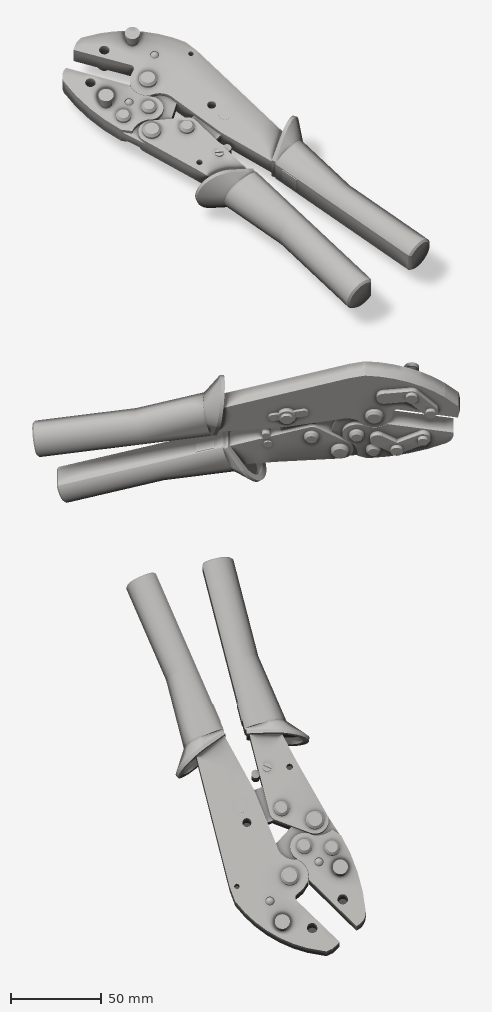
import cadquery as cq
import math


PLATE_THICKNESS = 10.6
LINK_THICKNESS = 6.0
HALF_PLATE = PLATE_THICKNESS / 2
JOINT_GAP = 0.2

HUB_RADIUS = 10.4
KNUCKLE_RADIUS = 8.0
HANDLE_NOSE_RADIUS = 7.5

MAIN_PIVOT = (0, 0)
KNUCKLE_BOLT = (13.2, -13.6)
JAW_BOLT = (6.9, -27.6)
HANDLE_PIVOT = (25.2, -24.3)
RATCHET_BOLT = (37.9, -9.3)

BOLT_HEIGHT = 3.0
BOLT_CHAMFER_HEIGHT = BOLT_HEIGHT / 2
BOLT_CHAMFER_WIDTH = 1.2
LARGE_BOLT_RADIUS = 5.1
SMALL_BOLT_RADIUS = 4.2

UPPER_DIE_PIN = (-24.4, 13.7)
LOWER_DIE_PIN = (-6.4, -27.4)
DIE_PIN_TOP = 13.3
DIE_PIN_BOTTOM = -10.5
DIE_PIN_RADIUS = 3.4
DIE_PIN_HEAD_RADIUS = 4.2
DIE_PIN_HEAD_HEIGHT = 2.6

UPPER_DIE_HOLE = (-31.8, -1.2)
LOWER_DIE_HOLE = (-22.4, -22.8)
DIE_HOLE_DIAMETER = 5.8
UPPER_BALL = (-9.1, 15.3)
LOWER_BALL = (2.3, -18.0)
BALL_DIAMETER = 5.0
BALL_PROJECTION = 1.2

STRAP_THICKNESS = 3.0
STRAP_WIDTH = 8.5

SPRING_HOLE = (5.2, 29.5)
SPRING_HOLE_DIAMETER = 3.0
PAWL_HOLE = (37.4, 11.5)
PAWL_HOLE_DIAMETER = 5.0
PAWL_PIN = (47.1, 11.7)
PAWL_PIN_RADIUS = 3.5
PAWL_PIN_PROJECTION = 0.1
PAWL_PIN_BOTTOM = -9.8
PAWL_COLLAR_RADIUS = 5.0
PAWL_COLLAR_HEIGHT = 2.6
PAWL_STRIP_END = (55.0, 11.7)
PAWL_STRIP_WIDTH = 5.0
PAWL_STRIP_THICKNESS = 1.5
HANDLE_HOLE = (58.9, -21.9)
HANDLE_HOLE_DIAMETER = 3.6
STOP_SCREW = (62.9, -10.0)
STOP_PIN = (62.3, -3.0)
STOP_RADIUS = 2.4
STOP_PROJECTION = 1.0
SCREW_SLOT_WIDTH = 0.8
SCREW_SLOT_ANGLE = 45

GRIP_RADIUS = 10.2
GRIP_LENGTH = 58.86
GRIP_END_CHAMFER = 1.2
GRIP_FLAT = 7.6
ROOT_LENGTH = 39.0
ROOT_FLARE = 6.0
PAD_START = -34.0
PAD_END = -23.5
PAD_WIDTH = 12.0
PAD_HEIGHT = 0.4
GUARD_OUTER_TIP = (-53.0, 25.71)
GUARD_INNER_TIP = (-42.1, -7.4)
GUARD_RADIUS = 14.99
GUARD_INNER_HALF_WIDTH = 7.5
GUARD_RIM_THICKNESS = 2.0
GUARD_WALL = 3.5
GUARD_RECESS_DEPTH = 4.0

UPPER_NECK = (130.35, 14.1)
UPPER_HANDLE_ANGLE = 2.3
LOWER_NECK = (125.7, -18.1)
LOWER_HANDLE_ANGLE = -6.5


def disc(center, radius, bottom, top):
    """Upright cylinder between two heights."""
    return cq.Workplane("XY", origin=(*center, bottom)).circle(radius).extrude(top - bottom)


def plate(outline, thickness):
    """Closed outline thickened evenly about the mid-plane."""
    return outline.close().extrude(thickness / 2, both=True)


def bar(start, end, width, bottom, top):
    """Flat bar with round ends about two points."""
    dx = end[0] - start[0]
    dy = end[1] - start[1]
    length = math.hypot(dx, dy)
    body = cq.Workplane("XY").center(length / 2, 0).slot2D(length + width, width).extrude(top - bottom)
    angle = math.degrees(math.atan2(dy, dx))
    return body.rotate((0, 0, 0), (0, 0, 1), angle).translate((*start, bottom))


def upper_plate():
    """Fixed jaw, pivot hub and tang of the upper handle in one plate."""
    outline = (
        cq.Workplane("XY")
        .moveTo(-44.6, -12.7)
        .lineTo(-46.8, -7.8)
        .lineTo(-47.1, -3.8)
        .lineTo(-41.5, 5.5)
        .threePointArc((-25.2, 22.2), (-2.4, 33.4))
        .lineTo(6.5, 33.3)
        .lineTo(87.0, 23.8)
        .lineTo(92.3, 6.2)
        .lineTo(54.1, 1.2)
        .lineTo(19.4, 0.6)
        .threePointArc((13.0, -0.5), (7.8, -6.9))
        .threePointArc((0.0, -HUB_RADIUS), (-5.7, -8.7))
        .lineTo(-9.1, -4.3)
        .lineTo(-10.8, 0.2)
        .threePointArc((-11.9, 1.3), (-13.5, 1.5))
    )
    holes = [
        (UPPER_DIE_HOLE, DIE_HOLE_DIAMETER),
        (UPPER_BALL, BALL_DIAMETER),
        (PAWL_HOLE, PAWL_HOLE_DIAMETER),
    ]
    body = drilled(plate(outline, PLATE_THICKNESS), holes)
    return body.cut(blind_hole(SPRING_HOLE, SPRING_HOLE_DIAMETER))


def lower_jaw():
    """Moving jaw with a knuckle at its back and a hollow that clears the hub."""
    outline = (
        cq.Workplane("XY")
        .moveTo(-39.3, -24.5)
        .lineTo(-5.5, -9.4)
        .lineTo(7.8, -7.1)
        .lineTo(18.9, -18.7)
        .threePointArc((16.4, -23.8), (17.0, -31.5))
        .lineTo(12.0, -34.9)
        .threePointArc((-9.1, -36.1), (-33.5, -32.3))
        .threePointArc((-37.4, -29.5), (-39.3, -24.5))
    )
    knuckle = disc(KNUCKLE_BOLT, KNUCKLE_RADIUS, -HALF_PLATE, HALF_PLATE)
    hub_clearance = disc(MAIN_PIVOT, HUB_RADIUS + JOINT_GAP, -HALF_PLATE, HALF_PLATE)
    jaw = plate(outline, PLATE_THICKNESS).union(knuckle).cut(hub_clearance)
    return drilled(jaw, [(LOWER_DIE_HOLE, DIE_HOLE_DIAMETER), (LOWER_BALL, BALL_DIAMETER)])


def lower_handle_plate():
    """Tang of the lower handle, round about its pivot."""
    outline = (
        cq.Workplane("XY")
        .moveTo(19.7, -19.2)
        .lineTo(33.6, -3.5)
        .threePointArc((35.5, -2.4), (38.0, -2.2))
        .lineTo(86.0, -7.9)
        .lineTo(86.0, -23.7)
        .lineTo(61.6, -26.5)
        .lineTo(26.5, -31.7)
    )
    nose = disc(HANDLE_PIVOT, HANDLE_NOSE_RADIUS, -HALF_PLATE, HALF_PLATE)
    body = plate(outline, PLATE_THICKNESS).union(nose)
    return body.cut(blind_hole(HANDLE_HOLE, HANDLE_HOLE_DIAMETER))


def drilled(body, holes):
    """Plate with through holes, each given as (center, diameter)."""
    for center, diameter in holes:
        body = body.cut(disc(center, diameter / 2, -HALF_PLATE, HALF_PLATE))
    return body


def blind_hole(center, diameter):
    """Tool for a hole from the top face down to the mid-plane."""
    return disc(center, diameter / 2, 0, HALF_PLATE)


def toggle_link():
    """Thin link joining the hub, the lower jaw and the handle pivot."""
    outline = cq.Workplane("XY").polyline(
        [
            (5, -6),
            (12, 0.5),
            (21, 0.6),
            (26.9, -10.7),
            (33.6, -18.5),
            (33.6, -30.0),
            (27.0, -31.75),
            (12.5, -34.7),
            (5.2, -18.5),
        ]
    )
    return plate(outline, LINK_THICKNESS)


def ratchet_link():
    """Thin link between the two handle plates."""
    outline = cq.Workplane("XY").polyline([(34, 1.5), (54, 1.5), (54, -9), (34, -9)])
    return plate(outline, LINK_THICKNESS)


def bolt(center, radius):
    """Bolt with a chamfered round head on both faces of the plates."""
    half_length = HALF_PLATE + BOLT_HEIGHT
    body = disc(center, radius, -half_length, half_length)
    return body.faces("<Z or >Z").chamfer(BOLT_CHAMFER_HEIGHT, BOLT_CHAMFER_WIDTH)


def die_pin(center):
    """Headed pin that holds a die."""
    shank = disc(center, DIE_PIN_RADIUS, DIE_PIN_BOTTOM, DIE_PIN_TOP)
    head = disc(center, DIE_PIN_HEAD_RADIUS, DIE_PIN_TOP - DIE_PIN_HEAD_HEIGHT, DIE_PIN_TOP)
    return shank.union(head)


def detent(ball, pin, hole):
    """Detent ball in its hole with the bent strap under the jaw that carries it."""
    ball_height = HALF_PLATE + BALL_PROJECTION - BALL_DIAMETER / 2
    strap_bottom = -HALF_PLATE - STRAP_THICKNESS
    stem = disc(ball, BALL_DIAMETER / 2, -HALF_PLATE, ball_height)
    dome = cq.Workplane("XY").sphere(BALL_DIAMETER / 2).translate((*ball, ball_height))
    rivet = disc(hole, DIE_HOLE_DIAMETER / 2, DIE_PIN_BOTTOM, -HALF_PLATE)
    near = bar(hole, pin, STRAP_WIDTH, strap_bottom, -HALF_PLATE)
    far = bar(pin, ball, STRAP_WIDTH, strap_bottom, -HALF_PLATE)
    return near.union(far).union(rivet).union(stem).union(dome)


def pawl_mount():
    """Pawl pin, barely proud on top, with its collar and strip under the upper plate."""
    pin = disc(PAWL_PIN, PAWL_PIN_RADIUS, PAWL_PIN_BOTTOM, HALF_PLATE + PAWL_PIN_PROJECTION)
    collar = disc(PAWL_PIN, PAWL_COLLAR_RADIUS, -HALF_PLATE - PAWL_COLLAR_HEIGHT, -HALF_PLATE)
    strip_bottom = -HALF_PLATE - PAWL_STRIP_THICKNESS
    strip = bar(PAWL_HOLE, PAWL_STRIP_END, PAWL_STRIP_WIDTH, strip_bottom, -HALF_PLATE)
    return pin.union(collar).union(strip)


def handle_stop():
    """Slotted screw through the lower handle and the stop pin at its inner edge."""
    reach = HALF_PLATE + STOP_PROJECTION
    screw = disc(STOP_SCREW, STOP_RADIUS, -reach, reach)
    slot = cq.Workplane("XY").box(2 * STOP_RADIUS, SCREW_SLOT_WIDTH, 2 * STOP_PROJECTION)
    slot = slot.rotate((0, 0, 0), (0, 0, 1), SCREW_SLOT_ANGLE).translate((*STOP_SCREW, reach))
    pin = disc(STOP_PIN, STOP_RADIUS, -reach, LINK_THICKNESS / 2)
    return screw.cut(slot).union(pin)


def guard_plane(depth):
    """Plane of the guard rim, moved into the guard by depth. Local +X runs from outer to inner tip."""
    along_x = GUARD_INNER_TIP[0] - GUARD_OUTER_TIP[0]
    along_y = GUARD_INNER_TIP[1] - GUARD_OUTER_TIP[1]
    length = math.hypot(along_x, along_y)
    normal = (-along_y / length, along_x / length, 0)
    origin = (GUARD_OUTER_TIP[0] + depth * normal[0], GUARD_OUTER_TIP[1] + depth * normal[1], 0)
    return cq.Plane(origin=origin, xDir=(along_x, along_y, 0), normal=normal)


def guard_outline(depth, inset):
    """Teardrop: a round outer end tapering to a narrow straight inner end."""
    radius = GUARD_RADIUS - inset
    half_width = GUARD_INNER_HALF_WIDTH - inset / 2
    length = math.dist(GUARD_OUTER_TIP, GUARD_INNER_TIP) - inset
    taper = math.atan2(GUARD_RADIUS - GUARD_INNER_HALF_WIDTH, length - GUARD_RADIUS)
    tangent_x = GUARD_RADIUS + radius * math.sin(taper)
    tangent_y = radius * math.cos(taper)
    return (
        cq.Workplane(guard_plane(depth))
        .moveTo(tangent_x, tangent_y)
        .threePointArc((GUARD_RADIUS - radius, 0), (tangent_x, -tangent_y))
        .lineTo(length, -half_width)
        .lineTo(length, half_width)
        .close()
    )


def guard():
    """Hollow hand guard that narrows from its rim to the handle root."""
    rim = guard_outline(0, 0).extrude(GUARD_RIM_THICKNESS)
    flat_half_width = math.sqrt(GRIP_RADIUS**2 - GRIP_FLAT**2)
    root_plane = cq.Plane(origin=(-ROOT_LENGTH, ROOT_FLARE, 0), xDir=(0, -1, 0), normal=(1, 0, 0))
    root_depth = ROOT_FLARE + GRIP_FLAT
    root = (
        cq.Workplane(root_plane)
        .moveTo(0, GRIP_RADIUS)
        .threePointArc((-GRIP_RADIUS, 0), (0, -GRIP_RADIUS))
        .lineTo(root_depth, -flat_half_width)
        .lineTo(root_depth, flat_half_width)
        .close()
    )
    rim_wire = guard_outline(GUARD_RIM_THICKNESS, 0).val()
    flare = cq.Workplane(cq.Solid.makeLoft([rim_wire, root.val()], True))
    recess = guard_outline(0, GUARD_WALL).extrude(GUARD_RECESS_DEPTH)
    return rim.union(flare).cut(recess)


def inner_pad():
    """Low pad on the inner flat of the handle, near its root."""
    pad = cq.Workplane("XY").box(PAD_END - PAD_START, 2 * PAD_HEIGHT, PAD_WIDTH)
    return pad.translate(((PAD_START + PAD_END) / 2, -GRIP_FLAT, 0))


def handle():
    """Round grip, flared towards its root, flat on the inner side, with its guard."""
    keep_length = ROOT_LENGTH + GRIP_LENGTH
    grip = cq.Workplane("YZ", origin=(-ROOT_LENGTH, 0, 0)).circle(GRIP_RADIUS).extrude(keep_length)
    flare_plane = cq.Plane(origin=(0, 0, 0), xDir=(0, 0, 1), normal=(-ROOT_LENGTH, ROOT_FLARE, 0))
    flare = cq.Workplane(flare_plane).circle(GRIP_RADIUS).extrude(ROOT_LENGTH + ROOT_FLARE)
    wedge_outline = cq.Workplane("XY").polyline([(0, 0), (-ROOT_LENGTH, 0), (-ROOT_LENGTH, ROOT_FLARE)])
    wedge = plate(wedge_outline, 2 * GRIP_RADIUS)
    keep_width = GRIP_FLAT + ROOT_FLARE + 2 * GRIP_RADIUS
    keep = cq.Workplane("XY").box(keep_length, keep_width, 3 * GRIP_RADIUS, centered=(False, False, True))
    keep = keep.translate((-ROOT_LENGTH, -GRIP_FLAT, 0))
    body = grip.union(flare).union(wedge).intersect(keep).faces(">X").chamfer(GRIP_END_CHAMFER)
    return body.union(inner_pad()).union(guard())


def placed(body, neck, angle):
    """Handle turned and moved to its neck."""
    return body.rotate((0, 0, 0), (0, 0, 1), angle).translate((*neck, 0))


upper_handle = handle()
lower_handle = upper_handle.mirror("XZ")

parts = [
    lower_jaw(),
    lower_handle_plate(),
    toggle_link(),
    ratchet_link(),
    bolt(MAIN_PIVOT, LARGE_BOLT_RADIUS),
    bolt(HANDLE_PIVOT, LARGE_BOLT_RADIUS),
    bolt(KNUCKLE_BOLT, SMALL_BOLT_RADIUS),
    bolt(JAW_BOLT, SMALL_BOLT_RADIUS),
    bolt(RATCHET_BOLT, SMALL_BOLT_RADIUS),
    die_pin(UPPER_DIE_PIN),
    die_pin(LOWER_DIE_PIN),
    detent(UPPER_BALL, UPPER_DIE_PIN, UPPER_DIE_HOLE),
    detent(LOWER_BALL, LOWER_DIE_PIN, LOWER_DIE_HOLE),
    pawl_mount(),
    handle_stop(),
    placed(upper_handle, UPPER_NECK, UPPER_HANDLE_ANGLE),
    placed(lower_handle, LOWER_NECK, LOWER_HANDLE_ANGLE),
]

result = upper_plate()
for part in parts:
    result = result.union(part)